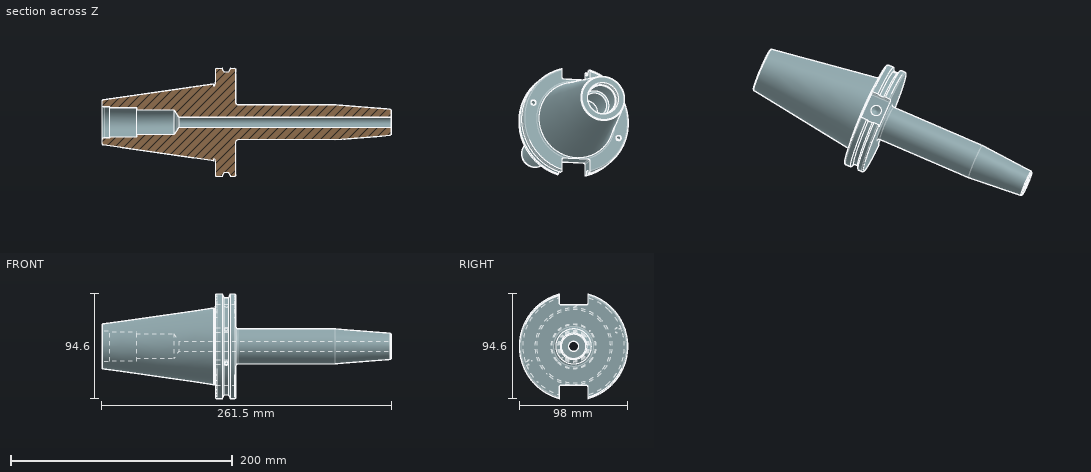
import cadquery as cq
import math

TOTAL_LENGTH = 261.5
X_START = -TOTAL_LENGTH / 2
TAPER_LENGTH = 101.0
FLANGE_START = 102.5
FLANGE_END = 121.0
GROOVE_CENTER = 112.5
DIMPLE_CENTER = 112.7
NOSE_START = 210.8

TAPER_SMALL_RADIUS = 20.5
TAPER_LARGE_RADIUS = 34.8
TAPER_END_CHAMFER = 0.8
NECK_RADIUS = 33.2
NECK_FLARE_RADIUS = 36.4
NECK_FLARE_LENGTH = 0.8

FLANGE_RADIUS = 98.0 / 2
FLANGE_FILLET = 1.3
GROOVE_FLOOR_RADIUS = 45.8
GROOVE_FLOOR_WIDTH = 4.0
GROOVE_MOUTH_WIDTH = 7.3

SHANK_RADIUS = 32.0 / 2
SHANK_FILLET = 2.0
NOSE_TIP_RADIUS = 12.0
NOSE_CHAMFER = 1.0

MOUTH_RADIUS = 28.8 / 2
MOUTH_TAPER_LENGTH = 2.4
COUNTERBORE_RADIUS = 27.7 / 2
COUNTERBORE_DEPTH = 7.0
THREAD_RADIUS = 26.2 / 2
BORE_RADIUS = 22.0 / 2
THREAD_DEPTH = 31.5
BORE_DEPTH = 65.5
BORE_CONE_RADIUS = 13.9 / 2
BORE_CONE_LENGTH = 2.5
THROUGH_CONE_LENGTH = 1.5
THROUGH_RADIUS = 9.0 / 2

SLOT_WIDTH = 25.6
UPPER_SLOT_FLOOR = 37.7
LOWER_SLOT_FLOOR = 35.3
SLOT_FLOOR_FILLET = 1.0
DIMPLE_RADIUS = 9.5 / 2
DIMPLE_DEPTH = 2.5

COOLANT_ANGLE = 20.0
COOLANT_PITCH_RADIUS = 42.0
COOLANT_RADIUS = 4.2 / 2
COOLANT_MOUTH_RADIUS = 5.0 / 2
COOLANT_CROSS_RADIUS = 3.1 / 2
COOLANT_DEPTH = GROOVE_CENTER - FLANGE_START + COOLANT_CROSS_RADIUS


def station(distance):
    """X coordinate at a distance from the small end of the taper."""
    return X_START + distance


def revolve_about_x(profile):
    """Close an (X, radius) profile and spin it about the tool axis."""
    return profile.close().revolve(360, (0, 0, 0), (1, 0, 0))


def make_body():
    floor_half = GROOVE_FLOOR_WIDTH / 2
    mouth_half = GROOVE_MOUTH_WIDTH / 2
    shoulder_radius = FLANGE_RADIUS - FLANGE_FILLET
    corner_inset = FLANGE_FILLET * (1 - math.sqrt(0.5))
    corner_radius = FLANGE_RADIUS - corner_inset
    fillet_center_x = station(FLANGE_END) + SHANK_FILLET
    fillet_center_radius = SHANK_RADIUS + SHANK_FILLET
    fillet_offset = SHANK_FILLET * math.sqrt(0.5)
    profile = (
        cq.Workplane("XY")
        .moveTo(station(0), 0)
        .lineTo(station(0), TAPER_SMALL_RADIUS - TAPER_END_CHAMFER)
        .lineTo(station(TAPER_END_CHAMFER), TAPER_SMALL_RADIUS)
        .lineTo(station(TAPER_LENGTH), TAPER_LARGE_RADIUS)
        .lineTo(station(TAPER_LENGTH), NECK_RADIUS)
        .lineTo(station(FLANGE_START - NECK_FLARE_LENGTH), NECK_RADIUS)
        .lineTo(station(FLANGE_START), NECK_FLARE_RADIUS)
        .lineTo(station(FLANGE_START), shoulder_radius)
        .threePointArc(
            (station(FLANGE_START + corner_inset), corner_radius),
            (station(FLANGE_START + FLANGE_FILLET), FLANGE_RADIUS),
        )
        .lineTo(station(GROOVE_CENTER - mouth_half), FLANGE_RADIUS)
        .lineTo(station(GROOVE_CENTER - floor_half), GROOVE_FLOOR_RADIUS)
        .lineTo(station(GROOVE_CENTER + floor_half), GROOVE_FLOOR_RADIUS)
        .lineTo(station(GROOVE_CENTER + mouth_half), FLANGE_RADIUS)
        .lineTo(station(FLANGE_END - FLANGE_FILLET), FLANGE_RADIUS)
        .threePointArc(
            (station(FLANGE_END - corner_inset), corner_radius),
            (station(FLANGE_END), shoulder_radius),
        )
        .lineTo(station(FLANGE_END), fillet_center_radius)
        .threePointArc(
            (fillet_center_x - fillet_offset, fillet_center_radius - fillet_offset),
            (fillet_center_x, SHANK_RADIUS),
        )
        .lineTo(station(NOSE_START), SHANK_RADIUS)
        .lineTo(station(TOTAL_LENGTH - NOSE_CHAMFER), NOSE_TIP_RADIUS)
        .lineTo(station(TOTAL_LENGTH), NOSE_TIP_RADIUS - NOSE_CHAMFER)
        .lineTo(station(TOTAL_LENGTH), 0)
    )
    return revolve_about_x(profile)


def make_bore():
    profile = (
        cq.Workplane("XY")
        .moveTo(station(0), 0)
        .lineTo(station(0), MOUTH_RADIUS)
        .lineTo(station(MOUTH_TAPER_LENGTH), COUNTERBORE_RADIUS)
        .lineTo(station(COUNTERBORE_DEPTH), COUNTERBORE_RADIUS)
        .lineTo(station(COUNTERBORE_DEPTH), THREAD_RADIUS)
        .lineTo(station(THREAD_DEPTH), THREAD_RADIUS)
        .lineTo(station(THREAD_DEPTH), BORE_RADIUS)
        .lineTo(station(BORE_DEPTH), BORE_RADIUS)
        .lineTo(station(BORE_DEPTH + BORE_CONE_LENGTH), BORE_CONE_RADIUS)
        .lineTo(station(BORE_DEPTH + BORE_CONE_LENGTH + THROUGH_CONE_LENGTH), THROUGH_RADIUS)
        .lineTo(station(TOTAL_LENGTH), THROUGH_RADIUS)
        .lineTo(station(TOTAL_LENGTH), 0)
    )
    return revolve_about_x(profile)


def make_drive_slot(floor_distance, side):
    """Slot through the flange; side is +1 above the axis and -1 below it."""
    length = FLANGE_END - FLANGE_START + NECK_FLARE_LENGTH
    height = FLANGE_RADIUS
    floor_edges = "|X and <Z" if side > 0 else "|X and >Z"
    slot = cq.Workplane("XY").box(length, SLOT_WIDTH, height).edges(floor_edges).fillet(SLOT_FLOOR_FILLET)
    center_x = station(FLANGE_END - length / 2)
    return slot.translate((center_x, 0, side * (floor_distance + height / 2)))


def make_dimple():
    return cq.Workplane(
        cq.Solid.makeCone(
            DIMPLE_RADIUS, 0, DIMPLE_DEPTH,
            cq.Vector(station(DIMPLE_CENTER), 0, UPPER_SLOT_FLOOR),
            cq.Vector(0, 0, -1),
        )
    )


def make_coolant_passage(side):
    """Axial hole from the rear flange face, joined by a radial hole from the groove."""
    angle = math.radians(COOLANT_ANGLE)
    outward = cq.Vector(0, side * math.cos(angle), side * math.sin(angle))
    axis = cq.Vector(1, 0, 0)
    mouth = outward * COOLANT_PITCH_RADIUS + axis * station(FLANGE_START)
    joint = mouth + axis * (GROOVE_CENTER - FLANGE_START)
    chamfer = COOLANT_MOUTH_RADIUS - COOLANT_RADIUS
    axial = cq.Solid.makeCylinder(COOLANT_RADIUS, COOLANT_DEPTH, mouth, axis)
    countersink = cq.Solid.makeCone(COOLANT_MOUTH_RADIUS, COOLANT_RADIUS, chamfer, mouth, axis)
    cross_length = FLANGE_RADIUS - COOLANT_PITCH_RADIUS
    cross = cq.Solid.makeCylinder(COOLANT_CROSS_RADIUS, cross_length, joint, outward)
    return cq.Workplane(axial.fuse(countersink, cross))


result = make_body().cut(make_bore())
for floor_distance, side in ((UPPER_SLOT_FLOOR, 1), (LOWER_SLOT_FLOOR, -1)):
    result = result.cut(make_drive_slot(floor_distance, side))
result = result.cut(make_dimple())
for side in (1, -1):
    result = result.cut(make_coolant_passage(side))